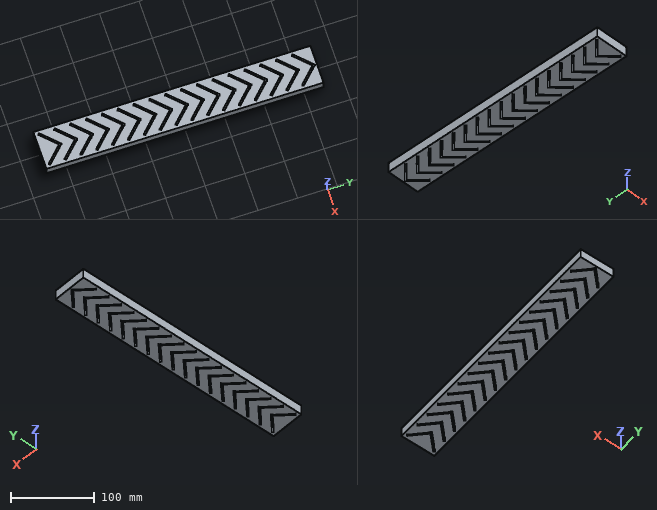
import cadquery as cq
import math

width = 50.0
length = 350.0
height = 15.0

slot_count = 17
slot_width = 2.28
arm_angle = math.radians(45)
arm_span = 21.5
first_apex_gap = 2.62
last_apex_gap = 322.7

pitch = (last_apex_gap - first_apex_gap) / (slot_count - 1)


def chevron_slot(apex_y):
    """Cutter for one through slot with its outer point on the centre line at apex_y."""
    drop = arm_span * math.tan(arm_angle)
    end_dx = slot_width * math.sin(arm_angle)
    end_dy = slot_width * math.cos(arm_angle)
    inner_drop = slot_width / math.cos(arm_angle)
    outline = [
        (0, apex_y),
        (arm_span, apex_y - drop),
        (arm_span - end_dx, apex_y - drop - end_dy),
        (0, apex_y - inner_drop),
        (end_dx - arm_span, apex_y - drop - end_dy),
        (-arm_span, apex_y - drop),
    ]
    return cq.Workplane("XY").polyline(outline).close().extrude(height)


result = cq.Workplane("XY").box(width, length, height, centered=(True, True, False))

for index in range(slot_count):
    result = result.cut(chevron_slot(length / 2 - first_apex_gap - index * pitch))